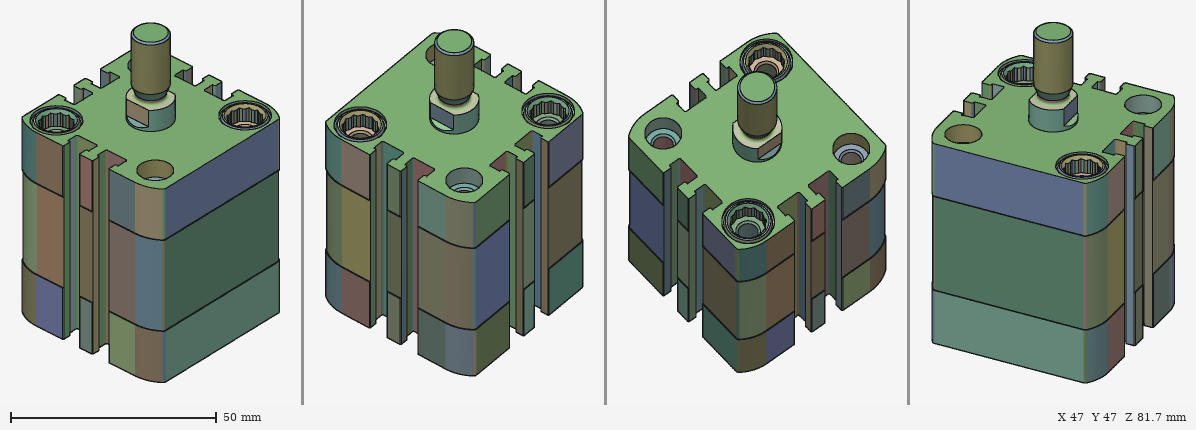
import cadquery as cq
import math

width = 47.0
housing_height = 56.7
cap_height = 15.0
barrel_inset = 0.205
corner_arc_radius = 11.3
corner_arc_center = 16.25
corner_blend_radius = 1.0

slot_offset = 4.8
slot_mouth_width = 5.2
slot_inner_width = 6.9
slot_lip = 2.6
slot_depth = 5.9
mouth_chamfer = barrel_inset
lip_rounding = 0.4
floor_rounding = 0.4

hole_offset = 16.25
through_diameter = 4.9
through_chamfer_diameter = 6.0
counterbore_diameter = 9.0
counterbore_depth = 5.0

groove_outer_diameter = 12.8
groove_inner_diameter = 11.9
groove_depth = 0.9
rim_diameter = 11.1
cone_diameter = 10.2
socket_diameter = 8.5
cone_depth = 1.0
point_diameter = 9.0
socket_depth = 4.65
point_count = 12
point_width = 1.3

total_height = 81.7
rod_diameter = 12.0
rod_socket_depth = cap_height
shoulder_height = 62.9
flat_width = 9.55
flat_bottom = 58.1
flat_slope_drop = 0.8
thread_diameter = 9.55
thread_bottom = 66.75
tip_diameter = 8.5
tip_chamfer_height = 0.5
neck_diameter = 7.7
neck_top = 64.3
neck_fillet = 0.65


def block(half, arc_radius, bottom, height):
    """Square block whose four corners are large arcs blended into the X sides."""
    arc_center_y = half - arc_radius
    side_x = half - corner_arc_center

    def arc_point(run):
        return (corner_arc_center + run, arc_center_y + math.sqrt(arc_radius**2 - run**2))

    middle_x, middle_y = arc_point(side_x / 2)
    end_y = arc_point(side_x)[1]
    return (
        cq.Workplane("XY", origin=(0, 0, bottom))
        .moveTo(-corner_arc_center, half)
        .lineTo(corner_arc_center, half)
        .threePointArc((middle_x, middle_y), (half, end_y))
        .lineTo(half, -end_y)
        .threePointArc((middle_x, -middle_y), (corner_arc_center, -half))
        .lineTo(-corner_arc_center, -half)
        .threePointArc((-middle_x, -middle_y), (-half, -end_y))
        .lineTo(-half, end_y)
        .threePointArc((-middle_x, middle_y), (-corner_arc_center, half))
        .close()
        .extrude(height)
        .edges("|Z and (<X or >X)")
        .fillet(corner_blend_radius)
    )


def slot(offset):
    """T-slot with a chamfered mouth, open on the +Y side and running the full height."""
    face = width / 2
    mouth = slot_mouth_width / 2
    inner = slot_inner_width / 2
    lip = face - slot_lip
    half_outline = [
        (mouth + mouth_chamfer, face),
        (mouth, face - mouth_chamfer),
        (mouth, lip),
        (inner, lip),
        (inner, face - slot_depth),
    ]
    right_side = [(offset + x, y) for x, y in half_outline]
    left_side = [(offset - x, y) for x, y in reversed(half_outline)]
    margin = lip_rounding / 2
    lip_edges = cq.selectors.BoxSelector(
        (offset - mouth - margin, lip - margin, 0),
        (offset + mouth + margin, lip + margin, housing_height),
    )
    return (
        cq.Workplane("XY")
        .polyline(right_side + left_side)
        .close()
        .extrude(housing_height)
        .edges("|Z and <Y")
        .fillet(floor_rounding)
        .edges(lip_edges)
        .edges("|Z")
        .fillet(lip_rounding)
    )


def cut_slots(body):
    """Pairs of slots on the +Y, -X and -Y sides."""
    for offset in (-slot_offset, slot_offset):
        for turn in (0, 90, 180):
            body = body.cut(slot(offset).rotate((0, 0, 0), (0, 0, 1), turn))
    return body


def revolve_profile(points):
    """Solid of revolution about Z from (diameter, height) points."""
    outline = [(diameter / 2, height) for diameter, height in points]
    return cq.Workplane("XZ").polyline(outline).close().revolve(360, (0, 0, 0), (0, 1, 0))


def through_hole(recess_depth):
    """Hole through the housing, with a 45-degree chamfer at the recess floor."""
    floor = housing_height - recess_depth
    chamfer = (through_chamfer_diameter - through_diameter) / 2
    return revolve_profile([
        (0, 0),
        (through_diameter, 0),
        (through_diameter, floor - chamfer),
        (through_chamfer_diameter, floor),
        (0, floor),
    ])


def counterbore(depth):
    return (
        cq.Workplane("XY", origin=(0, 0, housing_height - depth))
        .circle(counterbore_diameter / 2)
        .extrude(depth)
    )


def socket(depth):
    """Ring groove, and inside it a coned bore with twelve V-shaped points."""
    top = housing_height
    floor = top - depth
    groove = revolve_profile([
        (groove_outer_diameter, top),
        (groove_outer_diameter, top - groove_depth),
        (groove_inner_diameter, top - groove_depth),
        (rim_diameter, top),
    ])
    bore = revolve_profile([
        (0, top),
        (cone_diameter, top),
        (socket_diameter, top - cone_depth),
        (socket_diameter, floor),
        (0, floor),
    ])
    cone_slope = cone_depth / (cone_diameter - socket_diameter)
    point_top_depth = cone_slope * (cone_diameter - point_diameter)
    point = (
        cq.Workplane("XY", origin=(0, 0, floor))
        .polyline([
            (0, 0),
            (socket_diameter / 2, -point_width / 2),
            (point_diameter / 2, 0),
            (socket_diameter / 2, point_width / 2),
        ])
        .close()
        .extrude(depth - point_top_depth)
    )
    pitch = 360 / point_count
    for index in range(point_count):
        bore = bore.union(point.rotate((0, 0, 0), (0, 0, 1), index * pitch))
    return groove, bore


def cut_corner_holes(body):
    for x_side in (-1, 1):
        for y_side in (-1, 1):
            if x_side == y_side:
                depth = socket_depth
                recesses = socket(depth)
            else:
                depth = counterbore_depth
                recesses = [counterbore(depth)]
            place = (x_side * hole_offset, y_side * hole_offset, 0)
            body = body.cut(through_hole(depth).translate(place))
            for recess in recesses:
                body = body.cut(recess.translate(place))
    return body


def make_housing():
    half = width / 2
    body = block(half - barrel_inset, corner_arc_radius - barrel_inset, 0, housing_height)
    for bottom in (0, housing_height - cap_height):
        body = body.union(block(half, corner_arc_radius, bottom, cap_height))
    body = cut_corner_holes(cut_slots(body))
    rod_socket = (
        cq.Workplane("XY", origin=(0, 0, housing_height - rod_socket_depth))
        .circle(rod_diameter / 2)
        .extrude(rod_socket_depth)
    )
    return body.cut(rod_socket)


def wrench_flat_cut():
    """Material removed for the +Y wrench flat, ending below in a slope."""
    inner = flat_width / 2
    outer = rod_diameter / 2
    return (
        cq.Workplane("YZ", origin=(-outer, 0, 0))
        .polyline([
            (inner, shoulder_height),
            (inner, flat_bottom),
            (outer, flat_bottom - flat_slope_drop),
            (outer, shoulder_height),
        ])
        .close()
        .extrude(rod_diameter)
    )


def make_rod():
    """Piston rod with a shoulder, a necked thread end and two wrench flats."""
    base = housing_height - rod_socket_depth
    neck = neck_diameter / 2
    arc_reach = neck_fillet * (1 - math.sqrt(0.5))
    rod = (
        cq.Workplane("XZ")
        .moveTo(0, base)
        .lineTo(rod_diameter / 2, base)
        .lineTo(rod_diameter / 2, shoulder_height)
        .lineTo(neck + neck_fillet, shoulder_height)
        .threePointArc(
            (neck + arc_reach, shoulder_height + arc_reach),
            (neck, shoulder_height + neck_fillet),
        )
        .lineTo(neck, neck_top)
        .lineTo(thread_diameter / 2, thread_bottom)
        .lineTo(thread_diameter / 2, total_height - tip_chamfer_height)
        .lineTo(tip_diameter / 2, total_height)
        .lineTo(0, total_height)
        .close()
        .revolve(360, (0, 0, 0), (0, 1, 0))
    )
    flat_cut = wrench_flat_cut()
    return rod.cut(flat_cut).cut(flat_cut.mirror("XZ"))


housing = make_housing()
rod = make_rod()
result = cq.Compound.makeCompound([housing.val(), rod.val()])